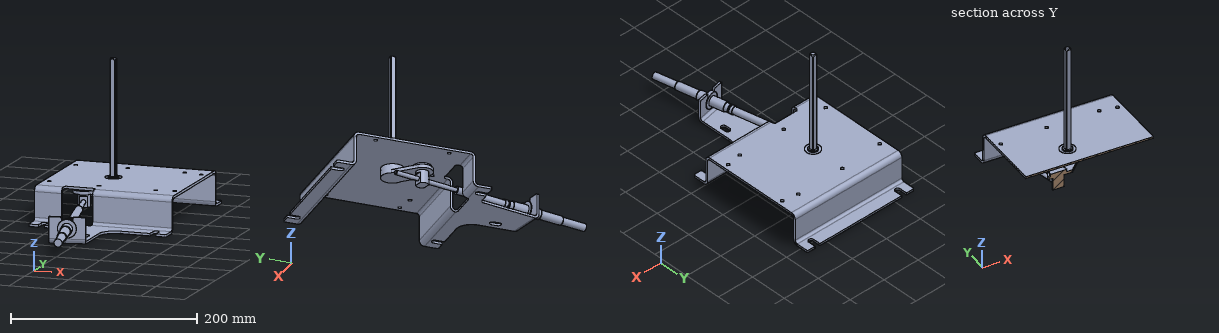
import cadquery as cq
import math


overall_length = 320.0
overall_height = 172.0

plate_width = 157.0
plate_centre_x = 13.5
half_depth = 89.5
wall_half_depth = 70.5
deck_height = 40.5
sheet = 3.0
bend_radius = 3.2
flange_corner_radius = 2.0
deck_underside = deck_height - sheet

slot_width = 6.7
slot_depth = 13.5
slot_offset_x = 63.7

deck_hole_diameter = 4.0
outer_hole_offset_x = 71.7
outer_hole_y = 42.5
inner_hole_xs = (0.0, 64.5)
inner_hole_y = 46.0

window_left = -34.2
window_right = 1.3
window_back_y = -60.0
window_front_y = -75.2
window_corner_radius = 3.0

lever_length = 35.0
lever_angle = 225.0
arm_end_radius = 12.2
hub_radius = 12.8
lever_bottom = 27.0
lever_thickness = 4.0
lever_top = lever_bottom + lever_thickness
pin_x = lever_length * math.cos(math.radians(lever_angle))
pin_y = lever_length * math.sin(math.radians(lever_angle))
pin_diameter = 14.0
pin_bottom = 11.5
pin_flats_width = 11.0
pin_flats_top = 24.0
pin_head_diameter = 20.2
pin_head_height = 3.0

shaft_side = 6.5
shaft_corner_diameter = 8.0
shaft_tip_chamfer = 1.5
deck_bore_diameter = 18.5
bushing_recess = 0.3
collar_diameter = 12.2
collar_height = 1.0
collar_chamfer = 0.5

cable_angle = 12.0
cable_height = 17.5
rod_start = -34.5
rod_diameter = 5.0
rod_tip_chamfer = 0.5
cable_end_diameter = 9.0
cable_sin = math.sin(math.radians(cable_angle))
cable_cos = math.cos(math.radians(cable_angle))
front_reach = overall_length - half_depth
cable_end = (front_reach + pin_y - cable_end_diameter / 2 * cable_sin) / cable_cos
body_diameter = 12.2
cable_stages = (
    (rod_diameter, 44.0),
    (cable_end_diameter, 104.5),
    (10.5, 108.5),
    (7.7, 110.5),
    (10.2, 115.2),
    (body_diameter, 150.7),
    (10.5, 179.2),
    (cable_end_diameter, cable_end),
)

tab_width = 40.0
tab_height = 30.0
tab_outer_station = 137.5
foot_overlap = 1.5
tab_corner_radius = 1.0
tab_slot_corner_radius = 1.5
grommet_diameter = 20.5
grommet_rim = 1.0
tongue_left_radius = 5.0
tongue_right_radius = 18.0
tongue_slot_x = 12.5
tongue_slot_y = -124.2
tongue_slot_length = 12.8
tongue_slot_width = 6.7


def along_cable(shape):
    """Move a shape whose +X runs along the cable from the pin into its place."""
    return shape.rotate((0, 0, 0), (0, 0, 1), cable_angle - 90).translate((pin_x, pin_y, 0))


def cable_frame_point(station, side):
    """Plan position of a point given along the cable and sideways from it."""
    x = pin_x + station * cable_sin + side * cable_cos
    y = pin_y - station * cable_cos + side * cable_sin
    return x, y


def disc(x, y, diameter, bottom, top):
    """Upright cylinder."""
    return cq.Workplane("XY", origin=(x, y, bottom)).circle(diameter / 2).extrude(top - bottom)


def edge_near(body, direction, point):
    """The edge parallel to a direction that lies closest to a point."""
    return body.edges(direction).edges(cq.selectors.NearestToPointSelector(point))


def hat_section():
    """Deck, two walls and two outward flanges with rounded bends."""
    inner = wall_half_depth - sheet
    half_outline = [
        (half_depth, 0),
        (inner, 0),
        (inner, deck_underside),
    ]
    half_outline_top = [
        (wall_half_depth, deck_height),
        (wall_half_depth, sheet),
        (half_depth, sheet),
    ]
    underside = half_outline + [(-y, z) for y, z in reversed(half_outline)]
    topside = [(-y, z) for y, z in reversed(half_outline_top)] + half_outline_top
    left = plate_centre_x - plate_width / 2
    body = cq.Workplane("YZ", origin=(left, 0, 0)).polyline(underside + topside).close().extrude(plate_width)
    for side in (1, -1):
        inside_corners = ((inner, deck_underside), (wall_half_depth, sheet))
        outside_corners = ((wall_half_depth, deck_height), (inner, 0))
        for y, z in inside_corners:
            body = edge_near(body, "|X", (plate_centre_x, side * y, z)).fillet(bend_radius)
        for y, z in outside_corners:
            body = edge_near(body, "|X", (plate_centre_x, side * y, z)).fillet(bend_radius + sheet)
        for end in (1, -1):
            corner = (plate_centre_x + end * plate_width / 2, side * half_depth, sheet / 2)
            body = edge_near(body, "|Z", corner).fillet(flange_corner_radius)
    return body


def flange_slots():
    """Cutters for the round-ended slots that open at the flange edges."""
    cutters = cq.Workplane("XY")
    for side in (1, -1):
        for end in (1, -1):
            x = plate_centre_x + end * slot_offset_x
            cutter = (
                cq.Workplane("XY", origin=(x, side * half_depth, 0))
                .slot2D(2 * slot_depth, slot_width, 90)
                .extrude(sheet)
            )
            cutters = cutters.add(cutter)
    return cutters.combine()


def deck_holes():
    """Cutters for the small holes and the bushing bore in the deck."""
    points = []
    for side in (1, -1):
        for end in (1, -1):
            points.append((plate_centre_x + end * outer_hole_offset_x, side * outer_hole_y))
        for x in inner_hole_xs:
            points.append((x, side * inner_hole_y))
    deck = cq.Workplane("XY", origin=(0, 0, deck_underside))
    small_holes = deck.pushPoints(points).circle(deck_hole_diameter / 2).extrude(sheet)
    return small_holes.union(disc(0, 0, deck_bore_diameter, deck_underside, deck_height))


def wall_window():
    """Cutter for the rounded rectangular opening through the front wall."""
    centre = ((window_left + window_right) / 2, (window_back_y + window_front_y) / 2, 0)
    return (
        cq.Workplane("XY", origin=centre)
        .rect(window_right - window_left, window_back_y - window_front_y)
        .extrude(deck_height)
        .edges("|Z")
        .fillet(window_corner_radius)
    )


def tongue():
    """Flat extension of the front flange, reaching to the bend of the tab."""
    bend_station = tab_outer_station - sheet - bend_radius
    left_end = cable_frame_point(bend_station, -tab_width / 2)
    right_end = cable_frame_point(bend_station, tab_width / 2)
    left_root_x = left_end[0] - (-half_depth - left_end[1]) * cable_sin / cable_cos
    right_root_x = right_end[0]
    outline = [(left_root_x, -half_depth), left_end, right_end, (right_root_x, -half_depth)]
    body = cq.Workplane("XY").polyline(outline).close().extrude(sheet)
    return body, left_root_x, right_root_x


def cable_tab():
    """Tab bent up square to the cable, with an open slot for the cable body."""
    inner = tab_outer_station - sheet
    foot_start = inner - bend_radius - foot_overlap
    outline = [
        (foot_start, 0),
        (tab_outer_station, 0),
        (tab_outer_station, tab_height),
        (inner, tab_height),
        (inner, sheet),
        (foot_start, sheet),
    ]
    tab = cq.Workplane("XZ", origin=(0, tab_width / 2, 0)).polyline(outline).close().extrude(tab_width)
    tab = edge_near(tab, "|Y", (inner, 0, sheet)).fillet(bend_radius)
    tab = edge_near(tab, "|Y", (tab_outer_station, 0, 0)).fillet(bend_radius + sheet)
    slot_height = tab_height - cable_height
    slot = (
        cq.Workplane("YZ", origin=(inner, 0, cable_height))
        .circle(body_diameter / 2)
        .extrude(sheet)
        .union(
            cq.Workplane("YZ", origin=(inner, 0, cable_height + slot_height / 2))
            .rect(body_diameter, slot_height)
            .extrude(sheet)
        )
    )
    tab = tab.cut(slot)
    for side in (1, -1):
        for offset, radius in (
            (tab_width / 2, tab_corner_radius),
            (body_diameter / 2, tab_slot_corner_radius),
        ):
            corner = (inner + sheet / 2, side * offset, tab_height)
            tab = edge_near(tab, "|X", corner).fillet(radius)
    return along_cable(tab)


def bracket():
    """The complete folded sheet with all its openings."""
    flat_tongue, left_root_x, right_root_x = tongue()
    body = hat_section().union(flat_tongue)
    for x, radius in ((left_root_x, tongue_left_radius), (right_root_x, tongue_right_radius)):
        body = edge_near(body, "|Z", (x, -half_depth, sheet / 2)).fillet(radius)
    tongue_slot = (
        cq.Workplane("XY", origin=(tongue_slot_x, tongue_slot_y, 0))
        .slot2D(tongue_slot_length, tongue_slot_width, 90)
        .extrude(sheet)
    )
    body = body.union(cable_tab())
    return body.cut(flange_slots()).cut(deck_holes()).cut(wall_window()).cut(tongue_slot)


def lever():
    """Hub under the deck, round-ended arm and headed pin with two flats."""
    arm = (
        cq.Workplane("XY", origin=(pin_x / 2, pin_y / 2, lever_bottom))
        .slot2D(lever_length + 2 * arm_end_radius, 2 * arm_end_radius, lever_angle)
        .extrude(lever_thickness)
    )
    hub = disc(0, 0, 2 * hub_radius, lever_bottom, deck_underside)
    pin = disc(0, 0, pin_diameter, pin_bottom, lever_bottom)
    flats_height = pin_flats_top - pin_bottom
    flat_offset = (pin_flats_width + pin_diameter) / 2
    for side in (1, -1):
        flat = (
            cq.Workplane("XY", origin=(side * flat_offset, 0, pin_bottom))
            .rect(pin_diameter, pin_diameter)
            .extrude(flats_height)
        )
        pin = pin.cut(flat)
    head = disc(pin_x, pin_y, pin_head_diameter, lever_top, lever_top + pin_head_height)
    return arm.union(hub).union(head).union(along_cable(pin))


def shaft():
    """Square shaft, its corners and tip turned round, with its round collar and the bushing that fills the deck bore."""
    length = overall_height - lever_bottom
    square = cq.Workplane("XY", origin=(0, 0, lever_bottom)).rect(shaft_side, shaft_side).extrude(length)
    turned = disc(0, 0, shaft_corner_diameter, lever_bottom, overall_height)
    square = square.intersect(turned.faces(">Z").chamfer(shaft_tip_chamfer))
    bushing = disc(0, 0, deck_bore_diameter, deck_underside, deck_height - bushing_recess)
    collar = disc(0, 0, collar_diameter, deck_underside, deck_height + collar_height)
    return square.union(bushing).union(collar.faces(">Z").chamfer(collar_chamfer))


def cable():
    """Stepped round cable with the grommet that seats it in the tab."""
    outline = [(rod_start, 0), (rod_start, rod_diameter / 2 - rod_tip_chamfer)]
    start = rod_start + rod_tip_chamfer
    for diameter, end in cable_stages:
        outline += [(start, diameter / 2), (end, diameter / 2)]
        start = end
    outline.append((cable_end, 0))
    stepped = cq.Workplane("XY").polyline(outline).close().revolve(360, (0, 0, 0), (1, 0, 0))
    grommet = (
        cq.Workplane("YZ", origin=(tab_outer_station - sheet - grommet_rim, 0, 0))
        .circle(grommet_diameter / 2)
        .extrude(sheet + 2 * grommet_rim)
    )
    return along_cable(stepped.union(grommet).translate((0, 0, cable_height)))


result = bracket().union(lever()).union(shaft()).union(cable())